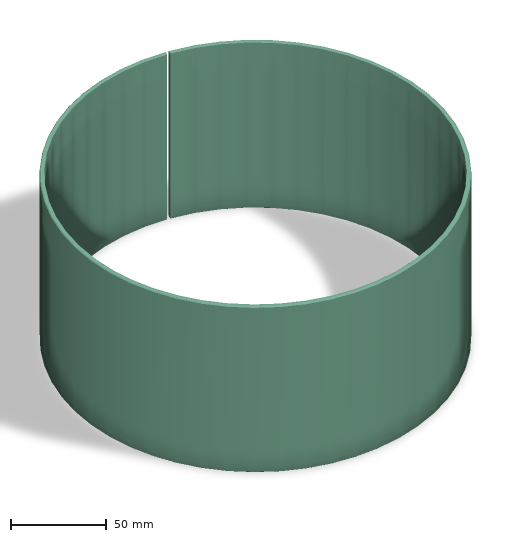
import cadquery as cq

outer_diameter = 225.0
wall_thickness = 2.5
height = 110.0
outer_chamfer = 0.5
inner_chamfer = 0.2
slit_angle = 1.0

outer_radius = outer_diameter / 2
inner_radius = outer_radius - wall_thickness


def wall_section():
    """Section of the wall on the -X side, with its four corners chamfered."""
    return (
        cq.Workplane("XZ")
        .moveTo(-inner_radius - inner_chamfer, 0)
        .lineTo(-outer_radius + outer_chamfer, 0)
        .lineTo(-outer_radius, outer_chamfer)
        .lineTo(-outer_radius, height - outer_chamfer)
        .lineTo(-outer_radius + outer_chamfer, height)
        .lineTo(-inner_radius - inner_chamfer, height)
        .lineTo(-inner_radius, height - inner_chamfer)
        .lineTo(-inner_radius, inner_chamfer)
        .close()
    )


result = wall_section().revolve(360 - slit_angle, (0, 0, 0), (0, 1, 0))